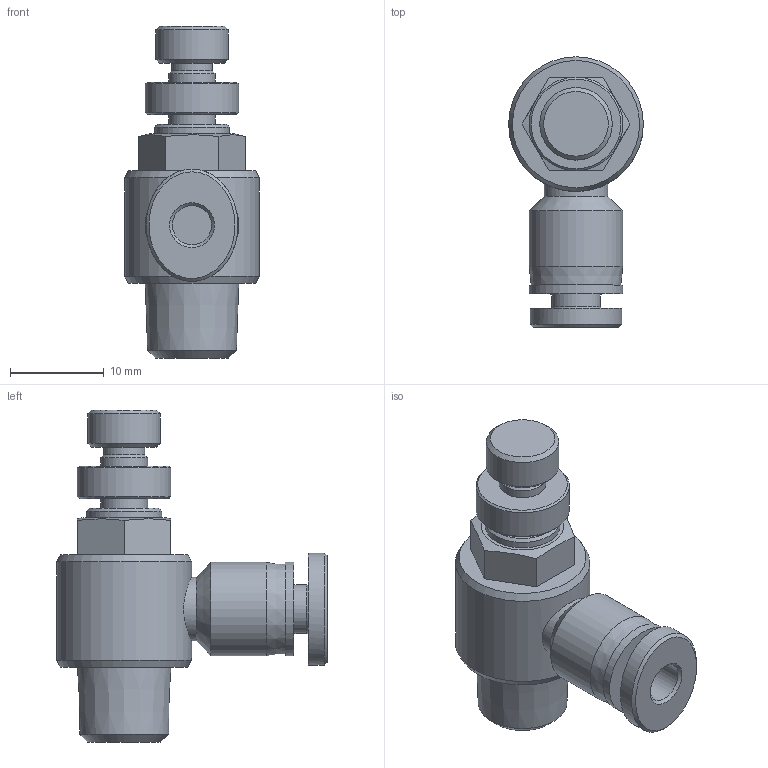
import cadquery as cq
import math

total_height = 35.5
body_bottom = 8.0
body_top = 20.0
hex_top = 24.0
collar_top = 25.0
lock_nut_bottom = 26.0
lock_nut_top = 29.5
stem_shoulder = 30.4
knob_bottom = 31.5

thread_top_diameter = 10.0
thread_bottom_diameter = 9.5
thread_chamfer = 0.85

body_diameter = 14.4
body_chamfer_width = 0.4
body_chamfer_height = 0.75

hex_across_flats = 10.0
hex_corner_diameter = hex_across_flats / math.cos(math.radians(30))
hex_crown_diameter = 8.8
hex_crown_angle = 13.0

collar_diameter = 8.0
collar_chamfer = 0.3
stem_diameter = 5.0
stem_neck_diameter = 4.4
lock_nut_diameter = 10.0
lock_nut_chamfer = 0.2
knob_diameter = 7.75
knob_chamfer = 0.42

port_height = 14.2
port_neck_end = 7.7
port_cone_end = 9.25
port_taper_start = 15.2
port_rim_start = 17.2
port_rim_end = 18.15
sleeve_flare_start = 19.5
flange_start = 19.7
flange_end = 21.7

port_neck_diameter = 6.8
port_diameter = 10.0
port_taper_diameter = 9.6
sleeve_diameter = 5.2
sleeve_flare_diameter = 5.35

flange_width = 9.8
flange_height = 12.0
flange_chamfer = 0.3
bore_diameter = 4.2
bore_chamfer = 0.3
bore_depth = flange_end - port_cone_end


def cylinder_z(diameter, bottom, top):
    """Upright cylinder on the vertical axis."""
    return cq.Workplane("XY").workplane(offset=bottom).circle(diameter / 2).extrude(top - bottom)


def revolve_z(profile):
    """Turn a closed (radius, z) profile about the vertical axis."""
    return cq.Workplane("XZ").polyline(profile).close().revolve(360, (0, 0, 0), (0, 1, 0))


def revolve_port(profile):
    """Turn a closed (radius, y) profile about the port axis."""
    plane = cq.Workplane("XY", origin=(0, 0, port_height))
    return plane.polyline(profile).close().revolve(360, (0, 0, 0), (0, 1, 0))


def make_thread():
    top_radius = thread_top_diameter / 2
    bottom_radius = thread_bottom_diameter / 2
    return revolve_z([
        (0, 0),
        (bottom_radius - thread_chamfer, 0),
        (bottom_radius, thread_chamfer),
        (top_radius, body_bottom),
        (0, body_bottom),
    ])


def make_body():
    radius = body_diameter / 2
    end_radius = radius - body_chamfer_width
    return revolve_z([
        (0, body_bottom),
        (end_radius, body_bottom),
        (radius, body_bottom + body_chamfer_height),
        (radius, body_top - body_chamfer_height),
        (end_radius, body_top),
        (0, body_top),
    ])


def make_hexagon():
    crown_radius = hex_crown_diameter / 2
    cone_radius = body_diameter / 2
    cone_drop = (cone_radius - crown_radius) * math.tan(math.radians(hex_crown_angle))
    prism = (
        cq.Workplane("XY")
        .workplane(offset=body_top)
        .polygon(6, hex_corner_diameter)
        .extrude(hex_top - body_top)
    )
    crown = revolve_z([
        (0, body_top),
        (cone_radius, body_top),
        (cone_radius, hex_top - cone_drop),
        (crown_radius, hex_top),
        (0, hex_top),
    ])
    return prism.intersect(crown)


def make_stem():
    stem_radius = stem_diameter / 2
    neck_radius = stem_neck_diameter / 2
    neck_start = stem_shoulder + stem_radius - neck_radius
    return revolve_z([
        (0, collar_top),
        (stem_radius, collar_top),
        (stem_radius, stem_shoulder),
        (neck_radius, neck_start),
        (neck_radius, knob_bottom),
        (0, knob_bottom),
    ])


def make_adjuster():
    collar = cylinder_z(collar_diameter, hex_top, collar_top).faces(">Z").chamfer(collar_chamfer)
    stem = make_stem()
    lock_nut = cylinder_z(lock_nut_diameter, lock_nut_bottom, lock_nut_top)
    lock_nut = lock_nut.faces("<Z or >Z").chamfer(lock_nut_chamfer)
    knob = cylinder_z(knob_diameter, knob_bottom, total_height)
    knob = knob.faces("<Z or >Z").chamfer(knob_chamfer)
    return collar.union(stem).union(lock_nut).union(knob)


def make_port():
    port_radius = port_diameter / 2
    neck_radius = port_neck_diameter / 2
    sleeve_radius = sleeve_diameter / 2
    return revolve_port([
        (0, 0),
        (neck_radius, 0),
        (neck_radius, -port_neck_end),
        (port_radius, -port_cone_end),
        (port_radius, -port_taper_start),
        (port_taper_diameter / 2, -port_rim_start),
        (port_radius, -port_rim_start),
        (port_radius, -port_rim_end),
        (sleeve_radius, -port_rim_end),
        (sleeve_radius, -sleeve_flare_start),
        (sleeve_flare_diameter / 2, -flange_start),
        (0, -flange_start),
    ])


def make_flange():
    return (
        cq.Workplane("XZ", origin=(0, -flange_start, port_height))
        .ellipse(flange_width / 2, flange_height / 2)
        .extrude(flange_end - flange_start)
        .faces("<Y")
        .chamfer(flange_chamfer)
    )


def make_bore():
    radius = bore_diameter / 2
    mouth_radius = radius + bore_chamfer
    return revolve_port([
        (0, -flange_end),
        (mouth_radius, -flange_end),
        (radius, bore_chamfer - flange_end),
        (radius, bore_depth - flange_end),
        (0, bore_depth - flange_end),
    ])


result = (
    make_thread()
    .union(make_body())
    .union(make_hexagon())
    .union(make_adjuster())
    .union(make_port())
    .union(make_flange())
    .cut(make_bore())
)